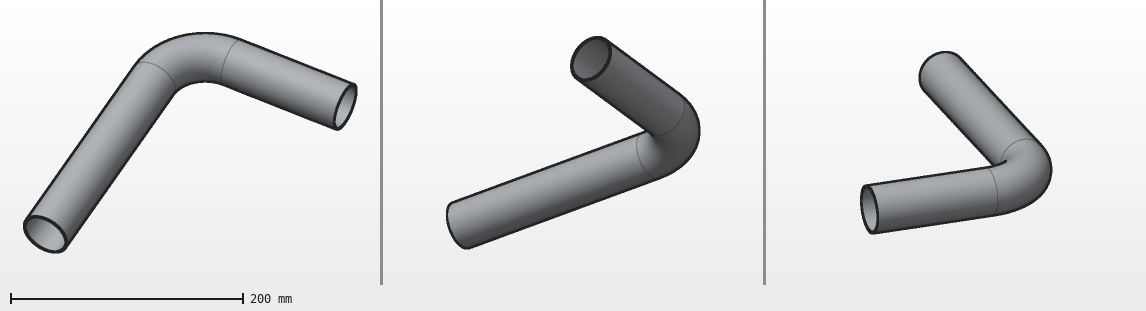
import cadquery as cq

outer_diameter = 42.0
inner_diameter = 39.0
bend_radius = 50.0
long_leg = 200.0
short_leg = 110.0


def bent_rod(diameter):
    """Solid rod of the given diameter following the tube centreline."""
    long_straight = cq.Workplane("XZ").circle(diameter / 2).extrude(-long_leg)
    elbow = (
        cq.Workplane("XZ", origin=(0, long_leg, 0))
        .circle(diameter / 2)
        .revolve(90, (bend_radius, 0, 0), (bend_radius, -1, 0))
    )
    short_straight = (
        cq.Workplane("YZ", origin=(bend_radius, long_leg + bend_radius, 0))
        .circle(diameter / 2)
        .extrude(short_leg)
    )
    return long_straight.union(elbow).union(short_straight)


result = bent_rod(outer_diameter).cut(bent_rod(inner_diameter))